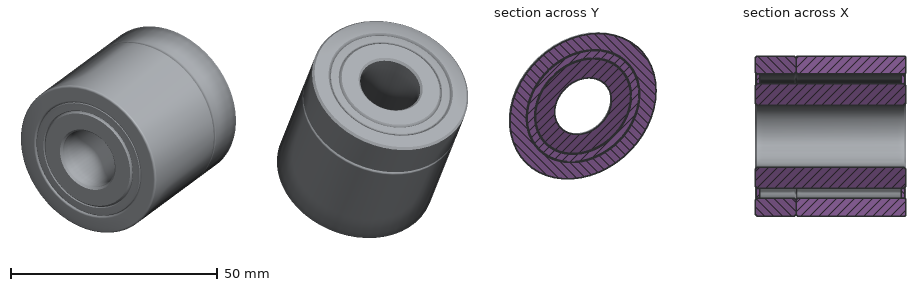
import cadquery as cq

outer_radius = 19.5
length = 36.6
bore_radius = 7.5
edge_chamfer = 0.5
edge_radius = edge_chamfer

back_ring_width = 10.0
front_ring_width = length - back_ring_width
race_radius = 15.0

inner_ring_radius = 12.7

shield_chamfer = 0.2
shield_recess = 0.25
shield_thickness = 1.0

front_y = -length / 2
back_y = length / 2
joint_y = front_y + front_ring_width


def tube(outside, inside, start_y, width):
    """Plain ring around the Y axis, running from start_y toward +Y."""
    return (
        cq.Workplane("XZ", origin=(0, start_y, 0))
        .circle(outside)
        .circle(inside)
        .extrude(-width)
    )


def chamfered_ring(outside, inside, start_y, width):
    """Ring with all four circular edges chamfered."""
    return tube(outside, inside, start_y, width).edges("%CIRCLE").chamfer(edge_chamfer)


def rounded_ring(outside, inside, start_y, width):
    """Ring with all four circular edges rounded."""
    return tube(outside, inside, start_y, width).edges("%CIRCLE").fillet(edge_radius)


def shield(start_y):
    """Thin washer with broken edges, seated between the inner and outer rings."""
    washer = tube(race_radius, inner_ring_radius, start_y, shield_thickness)
    return washer.edges("%CIRCLE").chamfer(shield_chamfer)


front_outer_ring = rounded_ring(outer_radius, race_radius, front_y, front_ring_width)
back_outer_ring = chamfered_ring(outer_radius, race_radius, joint_y, back_ring_width)
inner_ring = chamfered_ring(inner_ring_radius, bore_radius, front_y, length)

front_shield_y = front_y + shield_recess
back_shield_y = back_y - shield_recess - shield_thickness
shields = [shield(start_y) for start_y in (front_shield_y, back_shield_y)]

result = cq.Compound.makeCompound(
    [
        front_outer_ring.val(),
        back_outer_ring.val(),
        inner_ring.val(),
        *[washer.val() for washer in shields],
    ]
)